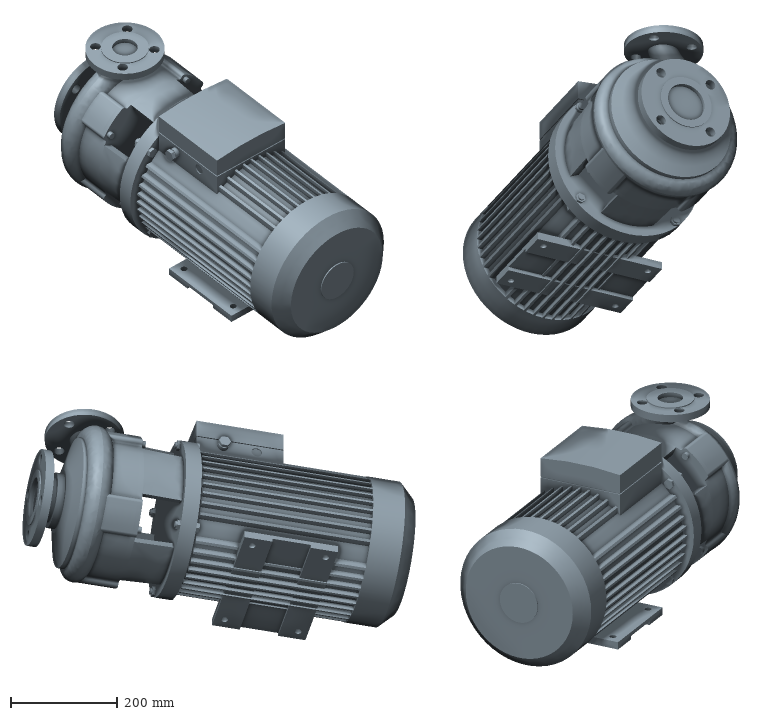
import cadquery as cq
import math


SUCTION_FLANGE_BACK = 18.5
NECK_END = 35.0
HUB_END = 49.5
CONE_END = 67.0
VOLUTE_X = 99.5
CASING_BACK = 173.0
PLATE_BACK = 183.0
MOTOR_FLANGE_FRONT = 260.0
MOTOR_FLANGE_BACK = 291.0
MOTOR_FRONT = 296.5
FAN_COVER_START = 626.0
FAN_COVER_TAPER = 688.0
FAN_COVER_END = 714.0
TOTAL_LENGTH = 716.5

RAISED_FACE = 2.0
FLANGE_HOLE_DIA = 20.0
SUCTION_FLANGE_DIA = 185.0
SUCTION_FACE_DIA = 106.0
SUCTION_BORE_DIA = 76.0
SUCTION_HOLE_OFFSET = 51.5
BORE_DEPTH = 9.0
DISCHARGE_FLANGE_DIA = 150.0
DISCHARGE_FACE_DIA = 90.0
DISCHARGE_BORE_DIA = 48.0
DISCHARGE_HOLE_OFFSET = 39.5
DISCHARGE_FLANGE_BOTTOM = 162.0
DISCHARGE_TOP = 179.0

NECK_DIA = 86.0
HUB_DIA = 106.0
CONE_SMALL_RADIUS = 61.0
CONE_LARGE_RADIUS = 125.0
BARREL_RADIUS = 134.0
VOLUTE_RADIUS = 125.5
VOLUTE_START_TUBE = 16.5
VOLUTE_END_TUBE = 28.0
VOLUTE_START_ANGLE = -90
VOLUTE_END_ANGLE = 250
VOLUTE_STEP = 20

DISCHARGE_NECK_TILT = 14.0
DISCHARGE_NECK_END_Y = 5.0
DISCHARGE_NECK_END_Z = 176.0

LUG_RADIUS = 145.5
LUG_SIDE = 68.0
LUG_CORNER_RADIUS = 7.0
LUG_ROOT_RADIUS = 4.0
SCREW_CIRCLE_RADIUS = 135.0
SCREW_ANGLE = 35.5
SCREW_SHANK_DIA = 10.0
SCREW_HEAD_DIA = 13.0
SCREW_HEAD_LENGTH = 8.0
SCREW_THREAD_DEPTH = 29.0

LANTERN_FRONT_RADIUS = BARREL_RADIUS
LANTERN_BACK_RADIUS = 130.5
LANTERN_WALL = 19.0
ARM_HALF_ANGLE = 24.8

MOTOR_FLANGE_DIA = 300.0
SPIGOT_DIA = 199.0
BOLT_OFFSET = 99.0
BOLT_DIA = 12.0
BOLT_HEX_DIA = 20.0
BOLT_NUT_LENGTH = 6.0
BOLT_HEAD_LENGTH = 6.5
BOLT_TIP_LENGTH = 3.5

MOTOR_DIA = 279.0
CORE_RADIUS = 130.0
FIN_WIDTH = 4.0
FIN_PITCH = 19.0
FINS_PER_SIDE = 9
FAN_COVER_END_RADIUS = 114.0
END_DISC_DIA = 80.0

BOX_LENGTH = 169.0
BOX_HALF_WIDTH = 84.5
LID_SEAM_Z = 142.0
LID_SEAM = 2.0
BOX_SIDE_TOP = 182.0
BOX_CROWN_TOP = 188.0
CABLE_ENTRY_Z = 127.0
GLAND_X = 347.5
GLAND_NECK_DIA = 16.0
GLAND_HEX_DIA = 24.0
GLAND_COLLAR_OUT = 8.5
GLAND_NECK_OUT = 11.5
GLAND_HEX_OUT = 18.0
SPARE_ENTRY_X = 413.5
CABLE_ENTRY_DIA = 20.0
SPARE_ENTRY_DEPTH = 2.0

FOOT_START = 379.0
FOOT_END = 560.0
FOOT_HALF_SPAN = 130.0
FOOT_TOP = -116.0
FOOT_BOTTOM = -131.0
FOOT_RELIEF_START = 433.0
FOOT_RELIEF_END = 507.0
FOOT_RELIEF_TOP = -124.0
FOOT_HOLE_DIA = 13.0
FOOT_HOLE_INSET = 19.0
FOOT_HOLE_Y = 109.0

QUARTER_TURNS = (0, 90, 180, 270)
DIAGONALS = ((1, 1), (-1, 1), (-1, -1), (1, -1))


def cylinder(dia, start, end, y=0.0, z=0.0):
    """A cylinder parallel to X."""
    return cq.Workplane("YZ", origin=(start, y, z)).circle(dia / 2).extrude(end - start)


def hexagon(dia, start, end, y, z):
    """A hexagonal prism parallel to X, sized across its corners, with one corner on the diagonal."""
    plane = cq.Workplane("YZ", origin=(start, y, z)).transformed(rotate=(0, 0, 45))
    return plane.polygon(6, dia).extrude(end - start)


def block(x0, x1, y0, y1, z0, z1):
    """A box given by its limits along each axis."""
    return cq.Workplane("XY").box(x1 - x0, y1 - y0, z1 - z0, centered=False).translate((x0, y0, z0))


def around_axis(shape, angle):
    return shape.rotate((0, 0, 0), (1, 0, 0), angle)


def revolved(points):
    """A solid turned about X from (x, radius) points."""
    return cq.Workplane("XY").polyline(points).close().revolve(360, (0, 0, 0), (1, 0, 0))



def lug(start, end):
    """One lug on the diagonal, with two flat sides and rounded outer corners."""
    corner = block(start, end, LUG_SIDE, LUG_RADIUS, LUG_SIDE, LUG_RADIUS)
    rimmed = corner.intersect(cylinder(2 * LUG_RADIUS, start, end))
    return rimmed.edges("|X").edges(">Y or >Z").fillet(LUG_CORNER_RADIUS)


def screw_position():
    """The (y, z) place of the first casing screw."""
    angle = math.radians(SCREW_ANGLE)
    return -SCREW_CIRCLE_RADIUS * math.cos(angle), SCREW_CIRCLE_RADIUS * math.sin(angle)


def barrel_with_lugs(start, end):
    barrel = cylinder(2 * BARREL_RADIUS, start, end)
    for turn in QUARTER_TURNS:
        barrel = barrel.union(around_axis(lug(start, end), turn))
    return fillet_lug_roots(barrel, (start + end) / 2)


def fillet_lug_roots(barrel, x):
    """Round the eight inner corners where the lug sides meet the barrel."""
    far = math.sqrt(BARREL_RADIUS**2 - LUG_SIDE**2)
    for y_sign, z_sign in DIAGONALS:
        for y, z in ((LUG_SIDE, far), (far, LUG_SIDE)):
            root = cq.selectors.NearestToPointSelector((x, y_sign * y, z_sign * z))
            barrel = barrel.edges("|X").edges(root).fillet(LUG_ROOT_RADIUS)
    return barrel


def volute_centre(angle):
    return cq.Vector(
        VOLUTE_X,
        VOLUTE_RADIUS * math.cos(math.radians(angle)),
        -VOLUTE_RADIUS * math.sin(math.radians(angle)),
    )


def volute_direction(angle):
    return cq.Vector(0, -math.sin(math.radians(angle)), -math.cos(math.radians(angle)))


def volute():
    """The spiral tube, which widens steadily towards the discharge."""
    sweep_angle = VOLUTE_END_ANGLE - VOLUTE_START_ANGLE
    growth = (VOLUTE_END_TUBE - VOLUTE_START_TUBE) / sweep_angle
    sections = []
    for angle in range(VOLUTE_START_ANGLE, VOLUTE_END_ANGLE + 1, VOLUTE_STEP):
        tube = VOLUTE_START_TUBE + growth * (angle - VOLUTE_START_ANGLE)
        sections.append(cq.Wire.makeCircle(tube, volute_centre(angle), volute_direction(angle)))
    return cq.Workplane(cq.Solid.makeLoft(sections))


def discharge_neck():
    """The tube that turns from the end of the spiral, trimmed where it meets the discharge flange."""
    start = volute_centre(VOLUTE_END_ANGLE)
    direction = volute_direction(VOLUTE_END_ANGLE)
    end = cq.Vector(VOLUTE_X, DISCHARGE_NECK_END_Y, DISCHARGE_NECK_END_Z)
    tilt = math.radians(DISCHARGE_NECK_TILT)
    end_direction = cq.Vector(0, math.sin(tilt), math.cos(tilt))
    path = cq.Edge.makeSpline([start, end], tangents=[direction, end_direction])
    plane = cq.Plane(origin=start, xDir=(1, 0, 0), normal=direction)
    tube = cq.Workplane(plane).circle(VOLUTE_END_TUBE).sweep(cq.Workplane(path))
    below_flange = (
        cq.Workplane("XY", origin=(VOLUTE_X, 0, 0))
        .rect(2 * DISCHARGE_FLANGE_DIA, 2 * DISCHARGE_FLANGE_DIA)
        .extrude(DISCHARGE_FLANGE_BOTTOM)
    )
    return tube.intersect(below_flange)


def pipe_flange(dia, face_dia, hole_offset, thickness):
    """A flange with four holes and a raised face, standing on the XY plane."""
    corners = [(a * hole_offset, b * hole_offset) for a, b in DIAGONALS]
    disc = cq.Workplane("XY").circle(dia / 2).extrude(thickness - RAISED_FACE)
    face = cq.Workplane("XY").circle(face_dia / 2).extrude(thickness)
    holes = cq.Workplane("XY").pushPoints(corners).circle(FLANGE_HOLE_DIA / 2).extrude(thickness)
    return disc.union(face).cut(holes)


def suction_end():
    flange = pipe_flange(SUCTION_FLANGE_DIA, SUCTION_FACE_DIA, SUCTION_HOLE_OFFSET, SUCTION_FLANGE_BACK)
    flange = flange.rotate((0, 0, 0), (0, 1, 0), -90).translate((SUCTION_FLANGE_BACK, 0, 0))
    neck = cylinder(NECK_DIA, SUCTION_FLANGE_BACK, NECK_END)
    hub = cylinder(HUB_DIA, NECK_END, HUB_END)
    return flange.union(neck).union(hub)


def discharge_flange():
    flange = pipe_flange(
        DISCHARGE_FLANGE_DIA,
        DISCHARGE_FACE_DIA,
        DISCHARGE_HOLE_OFFSET,
        DISCHARGE_TOP - DISCHARGE_FLANGE_BOTTOM,
    )
    return flange.translate((VOLUTE_X, 0, DISCHARGE_FLANGE_BOTTOM))


def make_casing():
    cone = revolved([
        (HUB_END, 0),
        (HUB_END, CONE_SMALL_RADIUS),
        (CONE_END, CONE_LARGE_RADIUS),
        (VOLUTE_X, CONE_LARGE_RADIUS),
        (VOLUTE_X, 0),
    ])
    casing = barrel_with_lugs(VOLUTE_X, CASING_BACK).union(cone).union(volute())
    casing = casing.union(discharge_neck()).union(discharge_flange()).union(suction_end())
    suction_bore = cylinder(SUCTION_BORE_DIA, 0, BORE_DEPTH)
    discharge_bore = (
        cq.Workplane("XY", origin=(VOLUTE_X, 0, DISCHARGE_TOP))
        .circle(DISCHARGE_BORE_DIA / 2)
        .extrude(-BORE_DEPTH)
    )
    return casing.cut(suction_bore).cut(discharge_bore)



def lantern():
    """A closed plate and four arms, cut from a tapering shell, that reach the motor flange."""
    shell = revolved([
        (PLATE_BACK, LANTERN_FRONT_RADIUS - LANTERN_WALL),
        (PLATE_BACK, LANTERN_FRONT_RADIUS),
        (MOTOR_FLANGE_FRONT, LANTERN_BACK_RADIUS),
        (MOTOR_FLANGE_FRONT, LANTERN_BACK_RADIUS - LANTERN_WALL),
    ])
    reach = MOTOR_FLANGE_DIA
    half_width = reach * math.tan(math.radians(ARM_HALF_ANGLE))
    wedge = (
        cq.Workplane("YZ", origin=(PLATE_BACK, 0, 0))
        .polyline([(0, 0), (-half_width, reach), (half_width, reach)])
        .close()
        .extrude(MOTOR_FLANGE_FRONT - PLATE_BACK)
    )
    lantern_body = barrel_with_lugs(CASING_BACK, PLATE_BACK)
    for turn in QUARTER_TURNS:
        lantern_body = lantern_body.union(shell.intersect(around_axis(wedge, turn)))
    return lantern_body


def finned_motor():
    """The round core with parallel fins on four sides, trimmed to the motor diameter."""
    reach = MOTOR_DIA / 2
    fins = cylinder(2 * CORE_RADIUS, MOTOR_FRONT, FAN_COVER_START)
    for index in range(FINS_PER_SIDE):
        centre = (index - (FINS_PER_SIDE - 1) / 2) * FIN_PITCH
        low, high = centre - FIN_WIDTH / 2, centre + FIN_WIDTH / 2
        upright = block(MOTOR_FRONT, FAN_COVER_START, low, high, -reach, reach)
        fins = fins.union(upright).union(around_axis(upright, 90))
    return fins.intersect(cylinder(MOTOR_DIA, MOTOR_FRONT, FAN_COVER_START))


def fan_cover():
    cover = revolved([
        (FAN_COVER_START, 0),
        (FAN_COVER_START, MOTOR_DIA / 2),
        (FAN_COVER_TAPER, MOTOR_DIA / 2),
        (FAN_COVER_END, FAN_COVER_END_RADIUS),
        (FAN_COVER_END, 0),
    ])
    return cover.union(cylinder(END_DISC_DIA, FAN_COVER_END, TOTAL_LENGTH))


def terminal_box():
    """A box with a crowned lid, a seam groove below the lid, one gland and one spare entry."""
    box = (
        cq.Workplane("YZ", origin=(MOTOR_FRONT, 0, 0))
        .moveTo(-BOX_HALF_WIDTH, box_bottom())
        .lineTo(-BOX_HALF_WIDTH, BOX_SIDE_TOP)
        .threePointArc((0, BOX_CROWN_TOP), (BOX_HALF_WIDTH, BOX_SIDE_TOP))
        .lineTo(BOX_HALF_WIDTH, box_bottom())
        .close()
        .extrude(BOX_LENGTH)
    )
    seam = (
        cq.Workplane("XY", origin=(MOTOR_FRONT + BOX_LENGTH / 2, 0, LID_SEAM_Z))
        .rect(BOX_LENGTH, 2 * BOX_HALF_WIDTH)
        .rect(BOX_LENGTH - 2 * LID_SEAM, 2 * (BOX_HALF_WIDTH - LID_SEAM))
        .extrude(LID_SEAM)
    )
    spare_entry = side_plane(SPARE_ENTRY_X).circle(CABLE_ENTRY_DIA / 2).extrude(-SPARE_ENTRY_DEPTH)
    return box.cut(seam).cut(spare_entry).union(gland())


def gland():
    """A round collar, a narrower neck and a hexagon cap, standing out from the side of the box."""
    collar = side_plane(GLAND_X).circle(CABLE_ENTRY_DIA / 2).extrude(GLAND_COLLAR_OUT)
    neck = side_plane(GLAND_X).circle(GLAND_NECK_DIA / 2).extrude(GLAND_NECK_OUT)
    cap = (
        side_plane(GLAND_X)
        .workplane(offset=GLAND_NECK_OUT)
        .polygon(6, GLAND_HEX_DIA)
        .extrude(GLAND_HEX_OUT - GLAND_NECK_OUT)
    )
    return collar.union(neck).union(cap)


def box_bottom():
    """The height at which the sides of the box meet the round core."""
    return math.sqrt(CORE_RADIUS**2 - BOX_HALF_WIDTH**2)


def side_plane(x):
    """A sketch plane on the -Y side of the box, facing outwards, centred on a cable entry."""
    return cq.Workplane("XZ", origin=(x, -BOX_HALF_WIDTH, CABLE_ENTRY_Z))


def feet():
    """The foot plate, relieved underneath, with a hole near each corner."""
    span = FOOT_HALF_SPAN
    plate = block(FOOT_START, FOOT_END, -span, span, FOOT_BOTTOM, FOOT_TOP)
    relief = block(FOOT_RELIEF_START, FOOT_RELIEF_END, -span, span, FOOT_BOTTOM, FOOT_RELIEF_TOP)
    holes = (
        cq.Workplane("XY", origin=((FOOT_START + FOOT_END) / 2, 0, FOOT_BOTTOM))
        .rect(FOOT_END - FOOT_START - 2 * FOOT_HOLE_INSET, 2 * FOOT_HOLE_Y, forConstruction=True)
        .vertices()
        .circle(FOOT_HOLE_DIA / 2)
        .extrude(FOOT_TOP - FOOT_BOTTOM)
    )
    return plate.cut(relief).cut(holes)


def make_drive_unit():
    flange = cylinder(MOTOR_FLANGE_DIA, MOTOR_FLANGE_FRONT, MOTOR_FLANGE_BACK)
    spigot = cylinder(SPIGOT_DIA, MOTOR_FLANGE_BACK, MOTOR_FRONT)
    motor = finned_motor().union(fan_cover()).union(terminal_box()).union(feet())
    return lantern().union(flange).union(spigot).union(motor)



def make_casing_screw():
    y, z = screw_position()
    head = cylinder(SCREW_HEAD_DIA, PLATE_BACK, PLATE_BACK + SCREW_HEAD_LENGTH, y, z)
    shank = cylinder(SCREW_SHANK_DIA, CASING_BACK - SCREW_THREAD_DEPTH, PLATE_BACK, y, z)
    return head.union(shank)


def make_flange_bolt():
    """A bolt with its hexagon head behind the motor flange and its nut in front."""
    y = z = BOLT_OFFSET
    nut_front = MOTOR_FLANGE_FRONT - BOLT_NUT_LENGTH
    nut = hexagon(BOLT_HEX_DIA, nut_front, MOTOR_FLANGE_FRONT, y, z)
    head = hexagon(BOLT_HEX_DIA, MOTOR_FLANGE_BACK, MOTOR_FLANGE_BACK + BOLT_HEAD_LENGTH, y, z)
    shank = cylinder(BOLT_DIA, nut_front - BOLT_TIP_LENGTH, MOTOR_FLANGE_BACK, y, z)
    return shank.union(nut).union(head)


casing_screws = [around_axis(make_casing_screw(), turn) for turn in QUARTER_TURNS]
flange_bolts = [around_axis(make_flange_bolt(), turn) for turn in QUARTER_TURNS]

casing = make_casing()
drive_unit = make_drive_unit()
for screw in casing_screws:
    casing = casing.cut(screw)
    drive_unit = drive_unit.cut(screw)
for bolt in flange_bolts:
    drive_unit = drive_unit.cut(bolt)

result = cq.Compound.makeCompound([
    casing.val(),
    drive_unit.val(),
    *[screw.val() for screw in casing_screws],
    *[bolt.val() for bolt in flange_bolts],
])